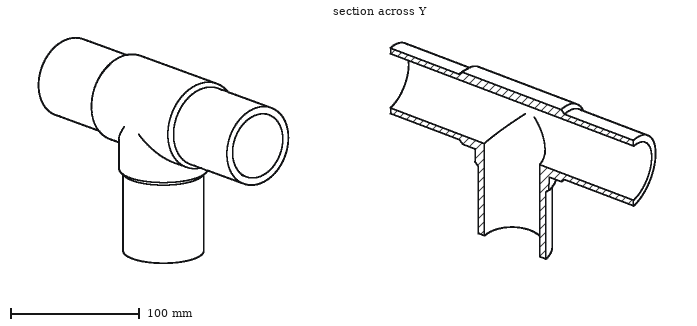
import cadquery as cq

spigot_diameter = 63.0
body_diameter = 69.3
bore_diameter = 51.4

run_half_length = 113.0
branch_length = 114.0
run_body_length = 49.0
branch_body_length = 50.0

shoulder = (body_diameter - spigot_diameter) / 2

run_right = (1, 0, 0)
run_left = (-1, 0, 0)
branch_down = (0, 0, -1)


def cylinder(direction, diameter, length):
    """Cylinder that starts at the origin and runs along the direction."""
    plane = cq.Plane(origin=(0, 0, 0), xDir=(0, 1, 0), normal=direction)
    return cq.Workplane(plane).circle(diameter / 2).extrude(length)


def arm(direction, arm_length, body_length):
    """Solid arm: thick body with a chamfered outer end, then a plain spigot."""
    end_face = cq.selectors.DirectionMinMaxSelector(cq.Vector(*direction))
    body = cylinder(direction, body_diameter, body_length).faces(end_face).chamfer(shoulder)
    return body.union(cylinder(direction, spigot_diameter, arm_length))


arms = [
    (run_right, run_half_length, run_body_length),
    (run_left, run_half_length, run_body_length),
    (branch_down, branch_length, branch_body_length),
]

tee = cq.Workplane("XY")
for direction, arm_length, body_length in arms:
    tee = tee.union(arm(direction, arm_length, body_length))

for direction, arm_length, _ in arms:
    tee = tee.cut(cylinder(direction, bore_diameter, arm_length))

result = tee.clean()